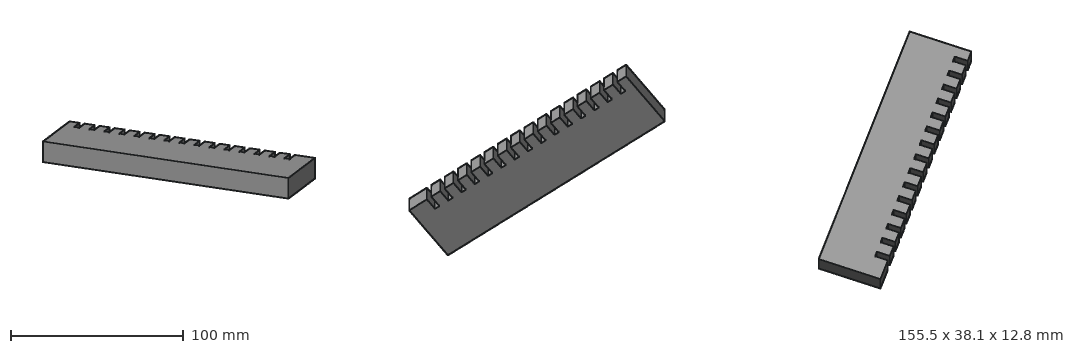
import cadquery as cq

length = 155.5
width = 38.1
thickness = 12.8

slot_count = 15
slot_width = 3.1
slot_depth = 8.0
left_margin = 6.4
right_margin = 12.8

slot_row_length = length - left_margin - right_margin
slot_pitch = (slot_row_length - slot_width) / (slot_count - 1)


def make_plate():
    return cq.Workplane("XY").box(length, width, thickness)


def make_slots():
    slot_y = width / 2 - slot_depth / 2
    first_x = -length / 2 + left_margin + slot_width / 2
    centers = [(first_x + i * slot_pitch, slot_y) for i in range(slot_count)]
    return (
        cq.Workplane("XY")
        .pushPoints(centers)
        .rect(slot_width, slot_depth)
        .extrude(thickness, both=True)
    )


result = make_plate().cut(make_slots())